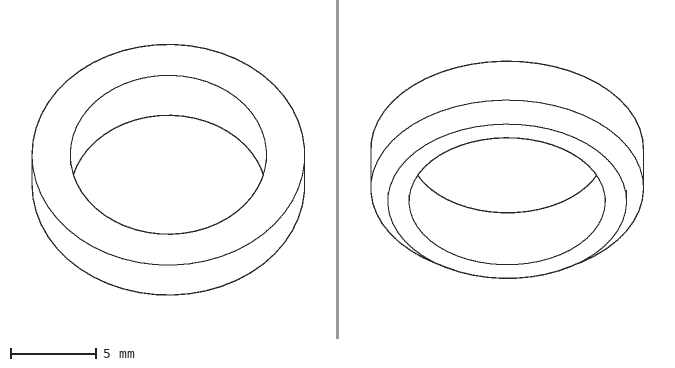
import cadquery as cq

flange_diameter = 16.0
spigot_diameter = 14.0
bore_diameter = 11.5
total_height = 4.0
root_fillet_radius = 0.1

spigot_height = (flange_diameter - spigot_diameter) / 2
flange_height = total_height - spigot_height

spigot = cq.Workplane("XY").circle(spigot_diameter / 2).extrude(spigot_height)

flange = (
    cq.Workplane("XY")
    .workplane(offset=spigot_height)
    .circle(flange_diameter / 2)
    .extrude(flange_height)
)

root_edge = cq.selectors.RadiusNthSelector(0)
body = (
    spigot.union(flange)
    .faces("<Z[1]")
    .edges(root_edge)
    .fillet(root_fillet_radius)
)

bore = cq.Workplane("XY").circle(bore_diameter / 2).extrude(total_height)

result = body.cut(bore)